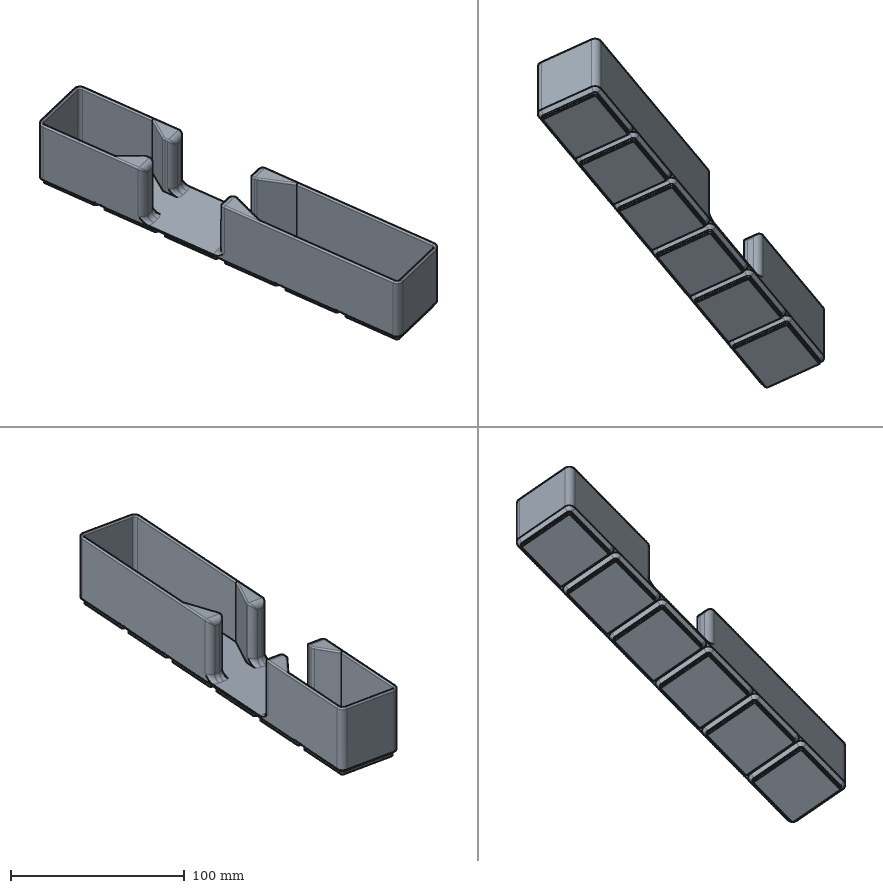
import cadquery as cq
import math

LENGTH = 252.0
HEIGHT = 46.0
CELLS = 6
FUSED_CELLS = 3

CELL = LENGTH / CELLS
HALF_WIDTH = CELL / 2

CORNER_R = 4.0
WALL = 2.0
RIM_R = 0.49 * WALL
FLOOR_Z = 6.0
UNDERSIDE_Z = 5.0

WINDOW_X0 = -51.7
WINDOW_X1 = 0.3
ROUND_R = 4.0

LEFT_WEDGE = (21.5, 12.0, 7.0)
RIGHT_WEDGE = (27.5, 11.3, 5.0)

FOOT_INSET = 2.4
FOOT_CHAMFER = 0.8
STEM_TOP_Z = 2.5

WALL_ENDS = [(WINDOW_X0, -1, LEFT_WEDGE), (WINDOW_X1, 1, RIGHT_WEDGE)]


def rounded_block(size_x, size_y, z0, z1, radius):
    return (
        cq.Workplane("XY", origin=(0, 0, z0))
        .rect(size_x, size_y)
        .extrude(z1 - z0)
        .edges("|Z")
        .fillet(radius)
    )


def wedge(end_x, inward, shape, side):
    length, depth, flat = shape
    far_x = end_x - inward * 2 * ROUND_R
    knee = (end_x + inward * flat, side * (HALF_WIDTH - depth))
    points = [
        (end_x + inward * length, side * (HALF_WIDTH - WALL)),
        knee,
        (far_x, side * (HALF_WIDTH - depth)),
        (far_x, side * (HALF_WIDTH - WALL / 2)),
        (end_x + inward * length, side * (HALF_WIDTH - WALL / 2)),
    ]
    block = cq.Workplane("XY", origin=(0, 0, FLOOR_Z)).polyline(points).close().extrude(HEIGHT - FLOOR_Z)
    knee_edge = cq.selectors.NearestToPointSelector((*knee, (FLOOR_Z + HEIGHT) / 2))
    return block.edges(knee_edge).fillet(ROUND_R)


def window():
    cutter = cq.Workplane("XY").box(WINDOW_X1 - WINDOW_X0, 2 * CELL, HEIGHT, centered=(False, True, False))
    return cutter.edges("|Y and <Z").fillet(ROUND_R).translate((WINDOW_X0, 0, FLOOR_Z))


def corner_cutter(end_x, inward, face_y, toward_core):
    """What a rounded wall corner leaves of its sharp block; the rounding flares out at the floor."""
    core_x = end_x + inward * ROUND_R
    core_y = face_y + toward_core * ROUND_R
    bend = ROUND_R * (1 - math.sqrt(0.5))
    flared_post = (
        cq.Workplane("XZ")
        .moveTo(0, FLOOR_Z)
        .lineTo(2 * ROUND_R, FLOOR_Z)
        .threePointArc((ROUND_R + bend, FLOOR_Z + bend), (ROUND_R, FLOOR_Z + ROUND_R))
        .lineTo(ROUND_R, HEIGHT)
        .lineTo(0, HEIGHT)
        .close()
        .revolve(360, (0, 0, 0), (0, 1, 0))
        .translate((core_x, core_y, 0))
    )
    block = cq.Workplane("XY").box(2 * ROUND_R, ROUND_R, HEIGHT - FLOOR_Z)
    block = block.translate((end_x, (face_y + core_y) / 2, (HEIGHT + FLOOR_Z) / 2))
    return block.cut(flared_post)


def top_rounding(end_x, inward):
    block = cq.Workplane("XY").box(ROUND_R, 2 * CELL, ROUND_R)
    block = block.translate((end_x + inward * ROUND_R / 2, 0, HEIGHT - ROUND_R / 2))
    barrel = cq.Workplane("XZ").circle(ROUND_R).extrude(CELL, both=True)
    return block.cut(barrel.translate((end_x + inward * ROUND_R, 0, HEIGHT - ROUND_R)))


def tray():
    body = rounded_block(LENGTH, CELL, UNDERSIDE_Z, HEIGHT, CORNER_R)
    body = body.cut(rounded_block(LENGTH - 2 * WALL, CELL - 2 * WALL, FLOOR_Z, HEIGHT + 2.5, CORNER_R - WALL))
    for end in WALL_ENDS:
        for side in (-1, 1):
            body = body.union(wedge(*end, side))
    body = body.cut(window())
    for end_x, inward, shape in WALL_ENDS:
        for side in (-1, 1):
            outer_y = side * HALF_WIDTH
            inner_y = side * (HALF_WIDTH - shape[1])
            body = body.cut(corner_cutter(end_x, inward, outer_y, -side))
            body = body.cut(corner_cutter(end_x, inward, inner_y, side))
        body = body.cut(top_rounding(end_x, inward))
    return body.faces(">Z").edges("not |Y").fillet(RIM_R)


def foot(index):
    top = rounded_block(CELL, CELL, STEM_TOP_Z, UNDERSIDE_Z, CORNER_R)
    top = top.faces("<Z").chamfer(FOOT_INSET)
    width = CELL - 2 * FOOT_INSET
    stem = rounded_block(width, width, 0, STEM_TOP_Z, CORNER_R - FOOT_INSET)
    stem = stem.faces("<Z").chamfer(FOOT_CHAMFER)
    return top.union(stem).translate(((index + 0.5) * CELL - LENGTH / 2, 0, 0))


tray_body = tray()
for index in range(FUSED_CELLS):
    tray_body = tray_body.union(foot(index))

separate_feet = [foot(index) for index in range(FUSED_CELLS, CELLS)]

result = cq.Compound.makeCompound([tray_body.val(), *[separate.val() for separate in separate_feet]])